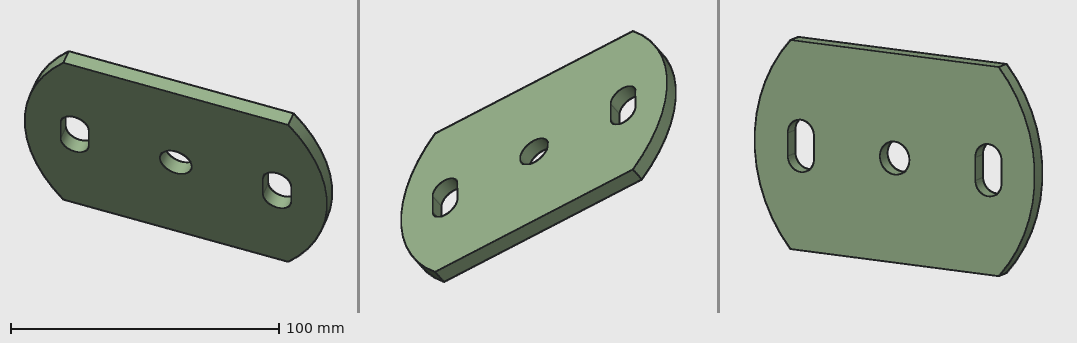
import cadquery as cq
import math

plate_length = 119.6
plate_height = 80.0
plate_thickness = 6.0

center_hole_diameter = 12.5
slot_width = 11.1
slot_height = 20.0
slot_spacing = 80.0

disc_radius = plate_length / 2
half_height = plate_height / 2
corner_x = math.sqrt(disc_radius**2 - half_height**2)


def make_plate():
    """Flat top and bottom edges joined by round ends about the plate center."""
    return (
        cq.Workplane("XZ")
        .moveTo(-corner_x, -half_height)
        .lineTo(corner_x, -half_height)
        .threePointArc((disc_radius, 0), (corner_x, half_height))
        .lineTo(-corner_x, half_height)
        .threePointArc((-disc_radius, 0), (-corner_x, -half_height))
        .close()
        .extrude(plate_thickness / 2, both=True)
    )


def cut_center_hole(plate):
    return plate.faces("<Y").workplane().hole(center_hole_diameter)


def cut_slots(plate):
    """Two upright through slots with round ends, one on each side of the hole."""
    return (
        plate.faces("<Y")
        .workplane()
        .pushPoints([(-slot_spacing / 2, 0), (slot_spacing / 2, 0)])
        .slot2D(slot_height, slot_width, angle=90)
        .cutThruAll()
    )


result = cut_slots(cut_center_hole(make_plate()))